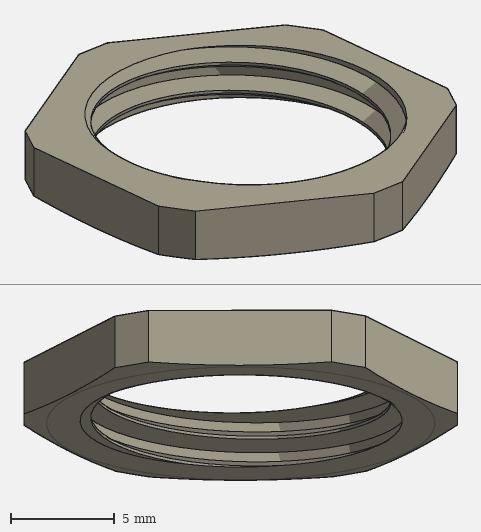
import cadquery as cq
import math

thickness = 2.8
across_flats = 19.0
across_blunted_corners = 20.85

bottom_face_radius = 9.35
relief_angle = 10.0

bore_radius = 7.22
thread_depth = 0.77
thread_pitch = 1.5
flank_angle = 30.0
root_width = 0.45
root_angle_at_top = 73.0
bore_overlap = 0.06


def hexagonal_prism(width, rotation):
    """Hexagonal prism with a flat facing the given direction in degrees."""
    circumscribed_diameter = width / math.cos(math.radians(30))
    return (
        cq.Workplane("XY")
        .polygon(6, circumscribed_diameter)
        .extrude(thickness)
        .rotate((0, 0, 0), (0, 0, 1), rotation + 30)
    )


def relief_envelope():
    """Solid of revolution whose lower cone relieves the bottom corners."""
    outer_radius = across_blunted_corners
    rise = (outer_radius - bottom_face_radius) * math.tan(math.radians(relief_angle))
    return (
        cq.Workplane("XZ")
        .polyline([
            (0, 0),
            (bottom_face_radius, 0),
            (outer_radius, rise),
            (outer_radius, thickness),
            (0, thickness),
        ])
        .close()
        .revolve(360, (0, 0, 0), (0, 1, 0))
    )


def thread_cutter():
    """Trapezoidal helical groove running past both faces of the nut."""
    inner_radius = bore_radius - bore_overlap
    root_radius = bore_radius + thread_depth
    half_root = root_width / 2
    half_mouth = half_root + (root_radius - inner_radius) * math.tan(math.radians(flank_angle))
    turns_below = math.ceil(thickness / thread_pitch) + 1
    turns = turns_below + 1
    start_z = thickness - turns_below * thread_pitch
    path = cq.Wire.makeHelix(thread_pitch, turns * thread_pitch, bore_radius)
    groove = (
        cq.Workplane("XZ")
        .polyline([
            (inner_radius, -half_mouth),
            (root_radius, -half_root),
            (root_radius, half_root),
            (inner_radius, half_mouth),
        ])
        .close()
        .sweep(cq.Workplane(path), isFrenet=True)
    )
    return groove.rotate((0, 0, 0), (0, 0, 1), root_angle_at_top).translate((0, 0, start_z))


body = hexagonal_prism(across_flats, 0)
body = body.intersect(hexagonal_prism(across_blunted_corners, 30))
body = body.intersect(relief_envelope())
bore = cq.Workplane("XY").circle(bore_radius).extrude(thickness)
result = body.cut(bore).cut(thread_cutter())